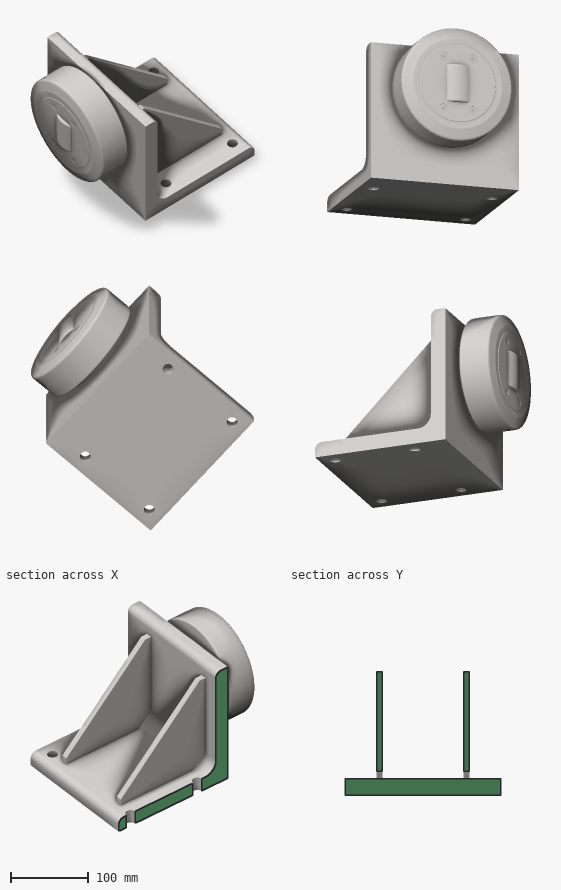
import cadquery as cq

bracket_width = 200.0
overall_length = 238.5
leg_length = 180.0
plate_thickness = 20.0
toe_radius = 9.0
inner_corner_radius = 18.0

mount_hole_diameter = 13.8
mount_hole_x = 80.1
mount_hole_edge_distance = 20.0
mount_hole_back_y = leg_length - mount_hole_edge_distance
mount_hole_pitch_y = 110.0

rib_thickness = 8.0
rib_center_x = 55.8
rib_reach = 160.0
rib_blunt_end = 30.0
rib_relief = 41.7

axle_z = 120.0
wheel_radius = 74.7
hub_diameter = 103.0
hub_length = 8.3
wheel_face = 53.2
face_ring_radius = 59.9
bevel_start = 49.1
back_edge_radius = 2.6
front_edge_radius = 3.3

cover_diameter = 102.5
cover_top_diameter = 101.4
cover_chamfer = (cover_diameter - cover_top_diameter) / 2
cover_face = wheel_face + cover_chamfer

screw_x = 20.0
screw_z = 34.5
screw_head_diameter = 12.0
screw_recess = 0.5
socket_across_corners = 5.2
socket_depth = 1.2

roller_tip = overall_length - leg_length
roller_radius = 29.0
roller_crown = 0.35
roller_length = 49.8
roller_edge_radius = 2.5
roller_window_width = 30.0

select_margin = 1.2


def axle_plane(distance):
    """Plane across the axle, facing -Y, at a distance from the bracket face."""
    return cq.Workplane("XZ", origin=(0, -distance, axle_z))


def edge_at(y, z):
    """Selector for the edge parallel to X that passes through (y, z)."""
    return cq.selectors.BoxSelector(
        (-select_margin, y - select_margin, z - select_margin),
        (select_margin, y + select_margin, z + select_margin),
    )


def make_angle():
    angle = (
        cq.Workplane("YZ")
        .polyline([
            (0, 0),
            (leg_length, 0),
            (leg_length, plate_thickness),
            (plate_thickness, plate_thickness),
            (plate_thickness, leg_length),
            (0, leg_length),
        ])
        .close()
        .extrude(bracket_width / 2, both=True)
    )
    toe_edges = edge_at(leg_length, plate_thickness) + edge_at(plate_thickness, leg_length)
    inner_corner = edge_at(plate_thickness, plate_thickness)
    angle = angle.edges(toe_edges).fillet(toe_radius)
    angle = angle.edges(inner_corner).fillet(inner_corner_radius)

    hole_points = [
        (x, y)
        for x in (-mount_hole_x, mount_hole_x)
        for y in (mount_hole_back_y - mount_hole_pitch_y, mount_hole_back_y)
    ]
    holes = cq.Workplane("XY").pushPoints(hole_points).circle(mount_hole_diameter / 2).extrude(plate_thickness)
    return angle.cut(holes)


def make_rib(center_x):
    return (
        cq.Workplane("YZ", origin=(center_x, 0, 0))
        .polyline([
            (rib_relief, plate_thickness),
            (rib_reach, plate_thickness),
            (rib_reach, rib_blunt_end),
            (rib_blunt_end, rib_reach),
            (plate_thickness, rib_reach),
            (plate_thickness, rib_relief),
        ])
        .close()
        .extrude(rib_thickness / 2, both=True)
    )


def make_wheel():
    hub = axle_plane(0).circle(hub_diameter / 2).extrude(hub_length)
    tyre = (
        cq.Workplane("XY")
        .polyline([
            (0, -hub_length),
            (wheel_radius, -hub_length),
            (wheel_radius, -bevel_start),
            (face_ring_radius, -wheel_face),
            (0, -wheel_face),
        ])
        .close()
        .revolve(360, (0, 0, 0), (0, 1, 0))
        .translate((0, 0, axle_z))
    )
    tyre = tyre.faces(">Y").edges().fillet(back_edge_radius)
    reach = wheel_radius + select_margin
    bevel_edge = cq.selectors.BoxSelector(
        (-reach, -bevel_start - select_margin, axle_z - reach),
        (reach, -bevel_start + select_margin, axle_z + reach),
        boundingbox=True,
    )
    tyre = tyre.edges("%CIRCLE").edges(bevel_edge).fillet(front_edge_radius)
    cover = axle_plane(hub_length).circle(cover_diameter / 2).extrude(cover_face - hub_length)
    cover = cover.faces("<Y").edges().chamfer(cover_chamfer)
    return hub.union(tyre).union(cover)


def make_screw_recesses():
    points = [(x, z) for x in (-screw_x, screw_x) for z in (-screw_z, screw_z)]
    heads = (
        axle_plane(cover_face - screw_recess)
        .pushPoints(points)
        .circle(screw_head_diameter / 2)
        .extrude(screw_recess)
    )
    sockets = (
        axle_plane(cover_face - socket_depth)
        .pushPoints(points)
        .polygon(6, socket_across_corners)
        .extrude(socket_depth)
    )
    return heads.union(sockets)


def make_roller():
    half_length = roller_length / 2
    end_radius = roller_radius - roller_crown
    roller = (
        cq.Workplane("XZ")
        .moveTo(0, -half_length)
        .lineTo(end_radius, -half_length)
        .threePointArc((roller_radius, 0), (end_radius, half_length))
        .lineTo(0, half_length)
        .close()
        .revolve(360, (0, 0, 0), (0, 1, 0))
        .edges("%CIRCLE")
        .fillet(roller_edge_radius)
        .translate((0, roller_radius - roller_tip, axle_z))
    )
    window = axle_plane(hub_length).rect(roller_window_width, roller_length).extrude(roller_tip - hub_length)
    return roller.intersect(window)


result = make_angle()
for side in (-1, 1):
    result = result.union(make_rib(side * rib_center_x))
result = result.union(make_wheel()).cut(make_screw_recesses()).union(make_roller())